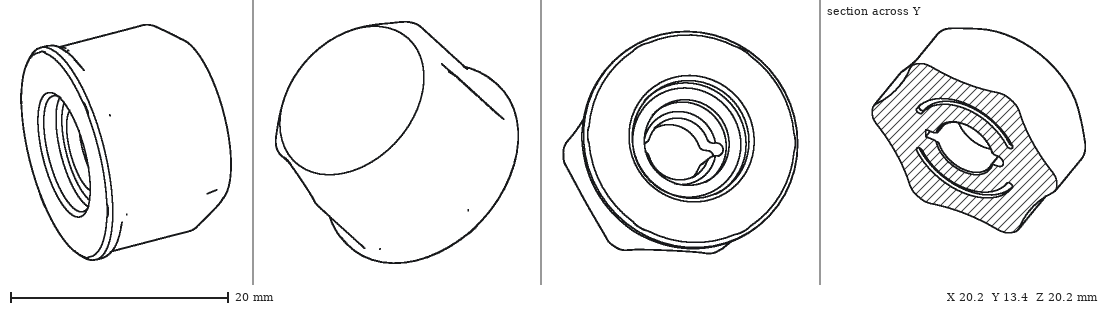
import cadquery as cq
import math

length = 13.4
flange_radius = 10.1

flange_chamfer = 0.4
flange_rim_end = 1.33
flange_slope = math.radians(59)
flange_round = 0.75
flange_blend = 0.63
edge_margin = 0.02

lobe_count = 6
lobe_radius = 9.78
scallop_radius = 14.95
scallop_depth_radius = 8.3
back_radius = 7.72
taper_length = 2.6
grip_round = 1.52

mouth_radius = 11.0 / 2
mouth_chamfer = 0.4
mouth_depth = 2.05

bore_radius = 8.0 / 2
lip_end = 3.27
undercut_radius = 11.4 / 2
undercut_end = lip_end + undercut_radius - bore_radius

groove_width = 0.6
groove_depth = 0.8
groove_end_angle = 28.0

keyhole_radius = 2.89
keyhole_chamfer = 0.53
keyhole_depth = 4.05
slot_reach = 4.08
round_slot_half_width = 0.6
square_slot_half_width = 0.42
slot_corner_round = 0.6


def revolve(points):
    """Turn (radius, Y) points into a solid of revolution about the Y axis."""
    return cq.Workplane("XY").polyline(points).close().revolve(360, (0, 0, 0), (0, 1, 0))


def plane_at(y):
    """Work plane at the given depth, with local x = X, local y = Z and +normal = -Y."""
    return cq.Workplane("XZ", origin=(0, y, 0))


def make_grip():
    """Tapered cylinder with scalloped sides and rounded edges."""
    grip = revolve([
        (0, 0),
        (lobe_radius, 0),
        (lobe_radius, length - taper_length),
        (back_radius, length),
        (0, length),
    ])
    half_pitch = 180 / lobe_count
    scallops = (
        plane_at(0)
        .polarArray(scallop_depth_radius + scallop_radius, half_pitch, 360, lobe_count)
        .circle(scallop_radius)
        .extrude(-length)
    )
    grip = grip.cut(scallops)
    rounded_edges = grip.edges("|Y").vals() + grip.faces("%CONE").edges("not(>Y)").vals()
    return grip.newObject(rounded_edges).fillet(grip_round)


def make_flange():
    """Flat disc with a chamfered front edge and a conical back."""
    return revolve([
        (0, 0),
        (flange_radius - flange_chamfer, 0),
        (flange_radius, flange_chamfer),
        (flange_radius, flange_rim_end),
        (0, flange_rim_end + flange_radius / math.tan(flange_slope)),
    ])


def edges_between(y_start, y_end):
    """Selector for edges that lie wholly between two distances along Y."""
    reach = 2 * flange_radius
    return cq.selectors.BoxSelector((-reach, y_start, -reach), (reach, y_end, reach), boundingbox=True)


def make_body():
    """Join grip and flange, blend the joint and round the flange rim."""
    body = make_grip().union(make_flange())
    joint_edges = edges_between(flange_rim_end + edge_margin, length / 2)
    body = body.edges(joint_edges).fillet(flange_blend)
    rim_edges = edges_between(flange_rim_end - edge_margin, flange_rim_end + edge_margin)
    return body.edges(rim_edges).fillet(flange_round)


def make_bore():
    """Chamfered mouth, bore and flared undercut as one turned cavity."""
    return revolve([
        (0, 0),
        (mouth_radius + mouth_chamfer, 0),
        (mouth_radius, mouth_chamfer),
        (mouth_radius, mouth_depth - mouth_chamfer),
        (mouth_radius - mouth_chamfer, mouth_depth),
        (bore_radius, mouth_depth),
        (bore_radius, lip_end),
        (undercut_radius, undercut_end),
        (0, undercut_end),
    ])


def make_groove():
    """Arc groove with rounded ends on the +Z side of the undercut floor."""
    outer = undercut_radius
    inner = undercut_radius - groove_width
    middle = undercut_radius - groove_width / 2
    angle = math.radians(groove_end_angle)
    overshoot = groove_width / 2 / middle

    def at(radius, side, extra=0.0):
        return (
            side * radius * math.cos(angle - extra),
            radius * math.sin(angle - extra),
        )

    return (
        plane_at(undercut_end)
        .moveTo(*at(outer, 1))
        .threePointArc((0, outer), at(outer, -1))
        .threePointArc(at(middle, -1, overshoot), at(inner, -1))
        .threePointArc((0, inner), at(inner, 1))
        .threePointArc(at(middle, 1, overshoot), at(outer, 1))
        .close()
        .extrude(-groove_depth)
    )


def make_keyhole():
    """Round hole with a round-ended slot towards +X and a square one towards -X."""
    hole = plane_at(undercut_end).circle(keyhole_radius).extrude(-keyhole_depth)
    round_slot = (
        plane_at(undercut_end)
        .center(slot_reach / 2, 0)
        .slot2D(slot_reach, 2 * round_slot_half_width)
        .extrude(-keyhole_depth)
    )
    square_slot = (
        plane_at(undercut_end)
        .center(-slot_reach / 2, 0)
        .rect(slot_reach, 2 * square_slot_half_width)
        .extrude(-keyhole_depth)
    )
    corner_zone = cq.selectors.BoxSelector(
        (-keyhole_radius, 0, -keyhole_radius),
        (keyhole_radius, length, keyhole_radius),
    )
    keyhole = hole.union(round_slot).union(square_slot)
    keyhole = keyhole.edges("|Y").edges(corner_zone).fillet(slot_corner_round)
    chamfer = revolve([
        (0, undercut_end),
        (keyhole_radius + keyhole_chamfer, undercut_end),
        (keyhole_radius, undercut_end + keyhole_chamfer),
        (0, undercut_end + keyhole_chamfer),
    ])
    return keyhole.union(chamfer)


groove = make_groove()
result = (
    make_body()
    .cut(make_bore())
    .cut(groove)
    .cut(groove.mirror("XY"))
    .cut(make_keyhole())
)